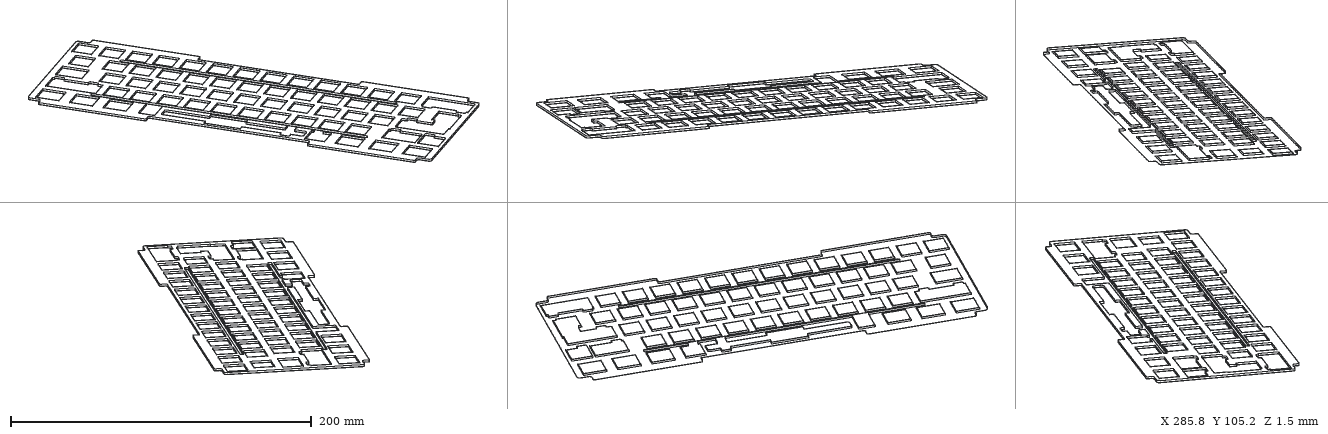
import cadquery as cq

length = 285.8
thickness = 1.5
rows = 5
row_units = 15
pitch = length / row_units
body_depth = rows * pitch
overall_depth = 105.2

tab_inner_x = 3 * pitch
tab_outer_x = 7 * pitch
body_corner_radius = 2.0
tab_corner_radius = 1.0
tab_outer_root_radius = 1.7
tab_inner_root_radius = 1.0

opening = 14.0
half_opening = opening / 2

stabilizer_width = 7.0
stabilizer_reach = 9.1
stabilizer_corner_radius = 1.0
short_key_offset = 12.0
space_offset_625 = 50.0
space_offset_700 = 57.2

enter_right = 137.2

relief_left = -105.0
relief_right = 91.0
relief_width = 2.5
relief_y = 28.3
relief_corner_radius = 1.1

wire_slot_length = 100.5
wire_slot_width = 7.7
wire_slot_corner_radius = 1.5

number_y, upper_y, home_y, lower_y, space_y = [
    ((rows - 1) / 2 - row) * pitch for row in range(rows)
]


def block(left, right, bottom, top, corner_radius=0):
    """Plate-thick block, with rounded vertical edges if a corner radius is given."""
    width = right - left
    depth = top - bottom
    centre = ((left + right) / 2, (bottom + top) / 2)
    solid = cq.Workplane("XY").center(*centre).rect(width, depth).extrude(thickness)
    if corner_radius:
        solid = solid.edges("|Z").fillet(corner_radius)
    return solid


def key_opening(first, last, y):
    """Opening covering every switch position from column first to column last, in key units."""
    return block(
        first * pitch - half_opening,
        last * pitch + half_opening,
        y - half_opening,
        y + half_opening,
    )


def stabilizer(x, y, direction):
    """Stabilizer opening whose notch points to the back (+1) or to the front (-1)."""
    ends = sorted([y - direction * half_opening, y + direction * stabilizer_reach])
    half_width = stabilizer_width / 2
    return block(x - half_width, x + half_width, ends[0], ends[1], stabilizer_corner_radius)


def stabilizer_pair(column, y, offset, direction):
    """Two stabilizer openings, one on each side of a key."""
    return [stabilizer(column * pitch + side * offset, y, direction) for side in (-1, 1)]


def key_run(first, count, y):
    """Row of single-unit key openings."""
    return [key_opening(first + step, first + step, y) for step in range(count)]


def plate_blank():
    """Rounded plate with two tabs on each long edge and no openings."""
    half_depth = overall_depth / 2
    body = block(-length / 2, length / 2, -body_depth / 2, body_depth / 2, body_corner_radius)
    for side in (-1, 1):
        left, right = sorted([side * tab_inner_x, side * tab_outer_x])
        body = body.union(block(left, right, -half_depth, half_depth, tab_corner_radius))
    roots = [(tab_inner_x, tab_inner_root_radius), (tab_outer_x, tab_outer_root_radius)]
    for x, radius in roots:
        for side in (-1, 1):
            for end in (-1, 1):
                root = (side * x, end * body_depth / 2, thickness / 2)
                body = body.edges(cq.selectors.NearestToPointSelector(root)).fillet(radius)
    return body


def number_row():
    backspace = 6.5
    openings = key_run(-7, 13, number_y)
    openings.append(key_opening(6, 7, number_y))
    openings += stabilizer_pair(backspace, number_y, short_key_offset, -1)
    return openings


def upper_row():
    return [key_opening(-6.75, -6.75, upper_y)] + key_run(-5.5, 12, upper_y)


def home_row():
    return [key_opening(-6.875, -6.625, home_y)] + key_run(-5.25, 11, home_y)


def enter_keys():
    """Merged opening for the backslash, hash, wide enter and tall enter keys."""
    backslash = 6.75
    hash_key = 5.75
    wide_enter = 6.375
    tall_enter = 6.875
    tall_enter_y = (upper_y + home_y) / 2
    tall_reach = short_key_offset + stabilizer_width / 2
    home_part = block(
        hash_key * pitch - half_opening,
        enter_right,
        home_y - half_opening,
        home_y + half_opening,
        stabilizer_corner_radius,
    )
    tall_part = block(
        tall_enter * pitch - half_opening,
        tall_enter * pitch + half_opening,
        tall_enter_y - half_opening,
        tall_enter_y + tall_reach,
    )
    left_notch = stabilizer(wide_enter * pitch - short_key_offset, home_y, 1)
    return [key_opening(backslash, backslash, upper_y), home_part, tall_part, left_notch]


def lower_row():
    left_shift = -6.375
    right_shift = 6.125
    openings = [key_opening(-6.875, -5.75, lower_y)] + key_run(-4.75, 10, lower_y)
    openings.append(key_opening(5.625, right_shift, lower_y))
    openings.append(key_opening(7, 7, lower_y))
    openings += stabilizer_pair(left_shift, lower_y, short_key_offset, 1)
    openings += stabilizer_pair(right_shift, lower_y, short_key_offset, 1)
    return openings


def space_row():
    modifiers = [(-6.875, -6.75), (-5.625, -5.5), (-4.375, -4.25), (3.125, 3.125)]
    modifiers += [(4.25, 4.375), (5.5, 5.625), (6.75, 6.875)]
    openings = [key_opening(first, last, space_y) for first, last in modifiers]
    space_625 = -0.625
    space_700 = 0
    openings.append(key_opening(space_625, space_700, space_y))
    openings += stabilizer_pair(space_625, space_y, space_offset_625, 1)
    openings += stabilizer_pair(space_700, space_y, space_offset_700, 1)
    openings.append(
        block(
            -wire_slot_length / 2,
            wire_slot_length / 2,
            space_y - wire_slot_width / 2,
            space_y + wire_slot_width / 2,
            wire_slot_corner_radius,
        )
    )
    return openings


def relief_slots():
    half_width = relief_width / 2
    return [
        block(relief_left, relief_right, y - half_width, y + half_width, relief_corner_radius)
        for y in (-relief_y, relief_y)
    ]


cutters = number_row() + upper_row() + home_row() + enter_keys() + lower_row() + space_row()
cutters += relief_slots()

result = plate_blank()
for cutter in cutters:
    result = result.cut(cutter)